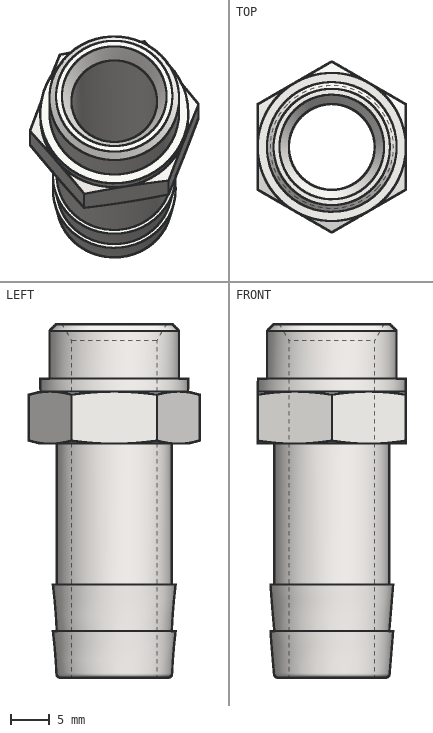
import cadquery as cq
import math

length = 45.4
bore_diameter = 11.0
mouth_diameter = 13.45
mouth_angle = 30.0

spigot_diameter = 16.65
spigot_length = 7.0
spigot_chamfer = 0.85
collar_height = 1.7

across_flats = 19.0
hex_height = 6.67
hex_chamfer_angle = 15.0
hex_half_angle = 30.0

tail_diameter = 14.8
barb_diameter = 15.8
barb_pitch = 6.0
barb_count = 2
tip_fillet = 0.55

collar_top = length - spigot_length
hex_top = collar_top - collar_height
hex_bottom = hex_top - hex_height
across_corners = across_flats / math.cos(math.radians(hex_half_angle))


def cylinder(diameter, bottom, top):
    return cq.Workplane("XY").workplane(offset=bottom).circle(diameter / 2).extrude(top - bottom)


def cone(bottom_diameter, top_diameter, bottom, top):
    return (
        cq.Workplane("XY").workplane(offset=bottom).circle(bottom_diameter / 2)
        .workplane(offset=top - bottom).circle(top_diameter / 2).loft(ruled=True)
    )


def make_hexagon():
    """Hexagon with corners on Y, its corners turned conically at both ends."""
    prism = (
        cq.Workplane("XY").workplane(offset=hex_bottom)
        .polygon(6, across_corners).extrude(hex_height)
        .rotate((0, 0, 0), (0, 0, 1), hex_half_angle)
    )
    corner_width = (across_corners - across_flats) / 2
    corner_drop = corner_width * math.tan(math.radians(hex_chamfer_angle))
    turned_envelope = (
        cq.Workplane("XZ")
        .moveTo(0, hex_bottom)
        .lineTo(across_flats / 2, hex_bottom)
        .lineTo(across_corners / 2, hex_bottom + corner_drop)
        .lineTo(across_corners / 2, hex_top - corner_drop)
        .lineTo(across_flats / 2, hex_top)
        .lineTo(0, hex_top)
        .close()
        .revolve(360, (0, 0, 0), (0, 1, 0))
    )
    return prism.intersect(turned_envelope)


def make_tail():
    """Plain tube with tapered barbs that widen away from the rounded tip."""
    tail = cylinder(tail_diameter, barb_pitch * barb_count, hex_bottom)
    for index in range(barb_count):
        bottom = index * barb_pitch
        barb = cone(tail_diameter, barb_diameter, bottom, bottom + barb_pitch)
        if index == 0:
            barb = barb.faces("<Z").edges().fillet(tip_fillet)
        tail = tail.union(barb)
    return tail


spigot = cylinder(spigot_diameter, collar_top, length).faces(">Z").edges().chamfer(spigot_chamfer)
collar = cylinder(across_flats, hex_top, collar_top)
body = make_tail().union(make_hexagon()).union(collar).union(spigot)

mouth_depth = (mouth_diameter - bore_diameter) / 2 / math.tan(math.radians(mouth_angle))
bore = cylinder(bore_diameter, 0, length)
mouth = cone(bore_diameter, mouth_diameter, length - mouth_depth, length)
result = body.cut(bore).cut(mouth)